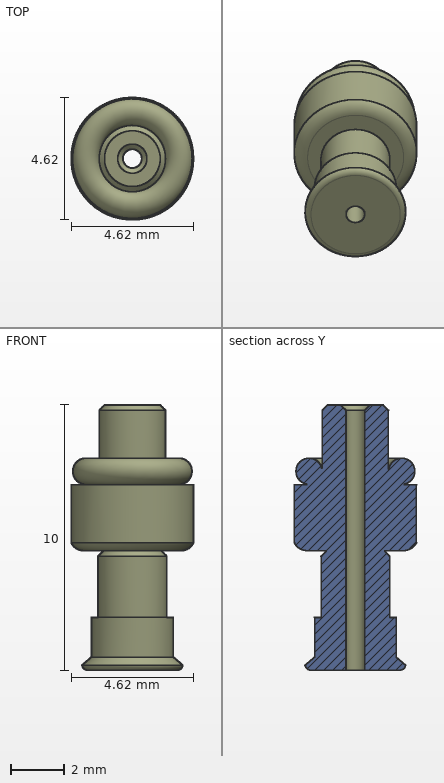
import cadquery as cq
import math

height = 10.0
foot_rim_z = 0.2
collar_bottom_z = 0.5
collar_top_z = 2.0
body_bottom_z = 4.5
body_edge_z = 4.8
body_top_z = 7.0

foot_radius = 1.9
collar_radius = 3.1 / 2
neck_radius = 2.6 / 2
body_radius = 4.62 / 2
stem_radius = 2.5 / 2
bore_radius = 0.7 / 2

chamfer = 0.2
foot_round_width = 0.22
body_round_width = 0.5
ring_tube_radius = 0.5
ring_center_radius = stem_radius + ring_tube_radius
ring_center_z = body_top_z + ring_tube_radius


def rounded_underside_mid(flat_radius, flat_z, width, rise):
    """Middle of an arc that leaves a flat underside tangentially and rises to an outer rim."""
    arc_radius = (width**2 + rise**2) / (2 * rise)
    half_angle = math.atan2(width, arc_radius - rise) / 2
    return (
        flat_radius + arc_radius * math.sin(half_angle),
        flat_z + arc_radius * (1 - math.cos(half_angle)),
    )


foot_flat_radius = foot_radius - foot_round_width
foot_round_mid = rounded_underside_mid(foot_flat_radius, 0, foot_round_width, foot_rim_z)

body_flat_radius = body_radius - body_round_width
body_round_mid = rounded_underside_mid(
    body_flat_radius, body_bottom_z, body_round_width, body_edge_z - body_bottom_z
)

ring_outer_mid = (
    ring_center_radius + ring_tube_radius * math.cos(math.pi / 4),
    ring_center_z + ring_tube_radius * math.sin(math.pi / 4),
)

profile = (
    cq.Workplane("XZ")
    .lineTo(foot_flat_radius, 0)
    .threePointArc(foot_round_mid, (foot_radius, foot_rim_z))
    .lineTo(collar_radius, collar_bottom_z)
    .lineTo(collar_radius, collar_top_z)
    .lineTo(neck_radius, collar_top_z)
    .lineTo(neck_radius, body_bottom_z - chamfer)
    .lineTo(neck_radius - chamfer, body_bottom_z)
    .lineTo(body_flat_radius, body_bottom_z)
    .threePointArc(body_round_mid, (body_radius, body_edge_z))
    .lineTo(body_radius, body_top_z)
    .lineTo(ring_center_radius, body_top_z)
    .threePointArc(ring_outer_mid, (stem_radius, ring_center_z))
    .lineTo(stem_radius, height - chamfer)
    .lineTo(stem_radius - chamfer, height)
    .lineTo(0, height)
    .close()
)
turned_part = profile.revolve(360, (0, 0), (0, 1))

bore = (
    cq.Workplane("XZ")
    .lineTo(bore_radius, 0)
    .lineTo(bore_radius, height - chamfer)
    .lineTo(bore_radius + chamfer, height)
    .lineTo(0, height)
    .close()
    .revolve(360, (0, 0), (0, 1))
)

result = turned_part.cut(bore)